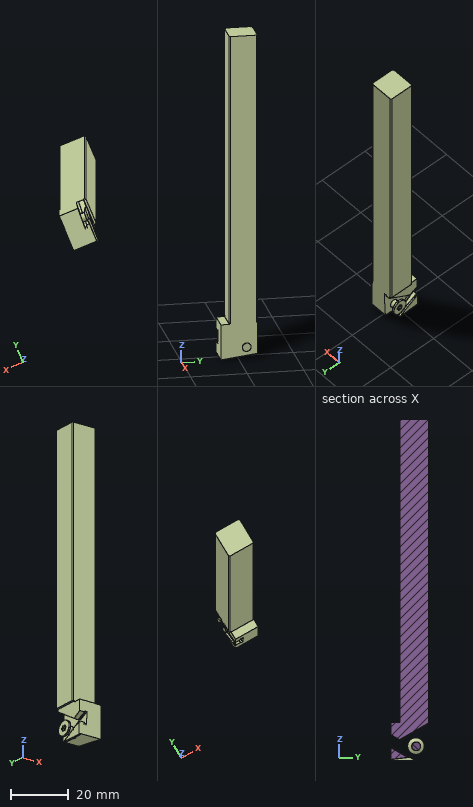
import cadquery as cq
import math

LENGTH = 118.4
SHANK = 10.0
SHANK_EDGE = 0.5

HEAD_DEPTH = 13.0
HEAD_TOP = 13.3
STEP_TOP = 13.6
HEAD_SIDE_X = 0.8
BOTTOM_BACK_Z = 2.0
BOTTOM_FRONT_Z = 0.4

WALL_SLOPE = math.tan(math.radians(30))
V_DEPTH_Y = 9.8
V_BOTTOM_Z = 7.1
JAW_TIP_Y = -4.5
JAW_TIP_Z = 0.1
JAW_TIP_X = 0.4
JAW_FRONT_X = 0.6
JAW_LEDGE_X = 1.2

SCREW_X = 0.2
SCREW_Y = -4.4
SCREW_Z = 5.1
TURN = 3.0
TILT = 3.0
FLOOR_DEPTH = 3.1
RELIEF_WIDTH = 0.4
RELIEF_HEIGHT = 0.8
HEAD_RADIUS = 3.0
HEAD_RIM = 0.7
CONE_END = 1.5
STEM_RADIUS = 1.5
SCREW_LENGTH = 10.0
SOCKET_RADIUS = 0.8
LOBE_RADIUS = 0.3
LOBES = 6
SOCKET_DEPTH = 1.2

CLEARANCE = 5.9

AXIS = cq.Vector(1, math.tan(math.radians(TURN)), -math.tan(math.radians(TILT)))
SCREW_PLANE = cq.Plane(
    origin=(SCREW_X, SCREW_Y, SCREW_Z),
    xDir=(-math.tan(math.radians(TURN)), 1, 0),
    normal=AXIS,
)


def side_prism(points, x_start, x_end):
    """Extrude a closed (Y, Z) outline along X."""
    return cq.Workplane("YZ", origin=(x_start, 0, 0)).polyline(points).close().extrude(x_end - x_start)


def on_screw_axis(radius, start, length):
    """Cylinder along the screw, starting at a depth below the top of the screw head."""
    return cq.Workplane(SCREW_PLANE).workplane(offset=start).circle(radius).extrude(length)


def make_shank():
    return (
        cq.Workplane("XY", origin=(0, 0, STEP_TOP))
        .rect(SHANK, -SHANK, centered=False)
        .extrude(LENGTH - STEP_TOP)
        .edges("|Z")
        .chamfer(SHANK_EDGE)
    )


def make_head():
    outline = [
        (0, BOTTOM_BACK_Z),
        (-HEAD_DEPTH, BOTTOM_FRONT_Z),
        (-HEAD_DEPTH, HEAD_TOP),
        (-SHANK, HEAD_TOP),
        (-SHANK, STEP_TOP),
        (0, STEP_TOP),
    ]
    return side_prism(outline, HEAD_SIDE_X, SHANK)


def make_pocket():
    """Tilted cut for the insert, undercut along its walls just above the floor."""
    y_back = CLEARANCE
    y_front = -HEAD_DEPTH - CLEARANCE
    roof_back = V_BOTTOM_Z + (y_back + V_DEPTH_Y) * WALL_SLOPE
    roof_front = V_BOTTOM_Z + (-V_DEPTH_Y - y_front) * WALL_SLOPE
    jaw_front = JAW_TIP_Z + (JAW_TIP_Y - y_front) * WALL_SLOPE
    outline = [
        (y_back, roof_back),
        (-V_DEPTH_Y, V_BOTTOM_Z),
        (y_front, roof_front),
        (y_front, jaw_front),
        (JAW_TIP_Y, JAW_TIP_Z),
        (JAW_TIP_Y, -CLEARANCE),
        (y_back, -CLEARANCE),
    ]
    local = [(y - SCREW_Y, z - SCREW_Z) for y, z in outline]
    opening = (
        cq.Workplane(SCREW_PLANE)
        .workplane(offset=-CLEARANCE)
        .polyline(local)
        .close()
        .extrude(CLEARANCE + FLOOR_DEPTH)
    )
    relief = (
        cq.Workplane(SCREW_PLANE)
        .workplane(offset=FLOOR_DEPTH - RELIEF_HEIGHT)
        .polyline(local)
        .close()
        .offset2D(RELIEF_WIDTH, "intersection")
        .extrude(RELIEF_HEIGHT)
    )
    return opening.union(relief)


def make_jaw():
    """Plate on the -X side of the head, with an outer face that leans in toward -Y."""
    jaw_front_z = JAW_TIP_Z + (JAW_TIP_Y + HEAD_DEPTH) * WALL_SLOPE
    profile = [
        (JAW_TIP_Y, JAW_TIP_Z),
        (JAW_TIP_Y, 0),
        (-HEAD_DEPTH, 0),
        (-HEAD_DEPTH, jaw_front_z),
    ]
    plan = [
        (JAW_TIP_X, JAW_TIP_Y),
        (JAW_FRONT_X, -HEAD_DEPTH),
        (JAW_LEDGE_X, -HEAD_DEPTH),
        (JAW_LEDGE_X, JAW_TIP_Y),
    ]
    plan_prism = cq.Workplane("XY").polyline(plan).close().extrude(HEAD_TOP)
    return side_prism(profile, 0, JAW_LEDGE_X).intersect(plan_prism)


def make_holder():
    screw_hole = on_screw_axis(STEM_RADIUS, 0, SCREW_LENGTH + CLEARANCE)
    head = make_head().cut(make_pocket()).cut(screw_hole)
    return make_shank().union(head).union(make_jaw())


def make_screw():
    half_section = [
        (0, 0),
        (HEAD_RADIUS, 0),
        (HEAD_RADIUS, HEAD_RIM),
        (STEM_RADIUS, CONE_END),
        (STEM_RADIUS, SCREW_LENGTH),
        (0, SCREW_LENGTH),
    ]
    section_plane = cq.Plane(
        origin=SCREW_PLANE.origin, xDir=SCREW_PLANE.xDir, normal=SCREW_PLANE.yDir * -1
    )
    body = cq.Workplane(section_plane).polyline(half_section).close().revolve(360, (0, 0), (0, 1))
    core = on_screw_axis(SOCKET_RADIUS, 0, SOCKET_DEPTH)
    lobes = (
        cq.Workplane(SCREW_PLANE)
        .polarArray(SOCKET_RADIUS, 0, 360, LOBES)
        .circle(LOBE_RADIUS)
        .extrude(SOCKET_DEPTH)
    )
    return body.cut(core).cut(lobes)


holder = make_holder()
screw = make_screw()

result = cq.Compound.makeCompound([holder.val(), screw.val()])